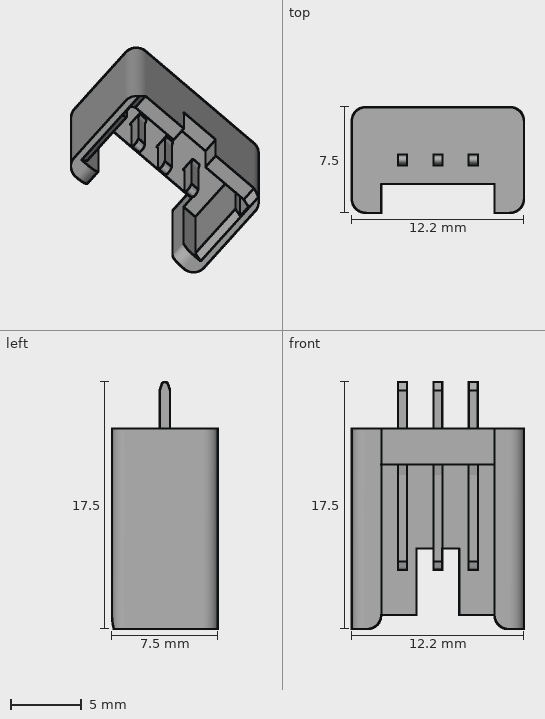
import cadquery as cq

body_width = 12.2
body_depth = 7.5
body_height = 14.2
corner_radius = 1.0

roof_thickness = 2.55
side_wall = 1.0
back_wall = 1.1
front_leg_thickness = 1.2

front_opening_width = 8.0
front_opening_depth = 2.05
leg_round_radius = 1.0

groove_width = 0.9
groove_depth = 0.45

mouth_height = 1.0
mouth_flare = 0.5

notch_width = 3.0
notch_top_z = 5.7

pin_count = 3
pin_pitch = 2.5
pin_width = 0.65
pin_thickness = 0.75
pin_length_above = 3.3
pin_length_below_top = 10.0
tip_length = 0.6
tip_round_height = 0.14
tip_round_half = 0.22
root_height = 0.75
root_flare = 0.14

front_y = -body_depth / 2
back_y = body_depth / 2
ceiling_z = body_height - roof_thickness
cavity_half_width = body_width / 2 - side_wall
cavity_front_y = front_y + front_leg_thickness
cavity_back_y = back_y - back_wall


def box_between(x_range, y_range, z_range):
    """Axis-aligned box spanning the given (low, high) ranges."""
    size = [high - low for low, high in (x_range, y_range, z_range)]
    corner = (x_range[0], y_range[0], z_range[0])
    return cq.Workplane("XY").box(*size, centered=False).translate(corner)


def housing_block():
    block = cq.Workplane("XY").rect(body_width, body_depth).extrude(body_height)
    return block.edges("|Z").fillet(corner_radius)


def cavity():
    """Main cavity plus the groove at the rear of each side wall."""
    main = box_between(
        (-cavity_half_width, cavity_half_width),
        (cavity_front_y, cavity_back_y),
        (0, ceiling_z),
    )
    groove_half_span = cavity_half_width + groove_depth
    grooves = box_between(
        (-groove_half_span, groove_half_span),
        (cavity_back_y - groove_width, cavity_back_y),
        (0, ceiling_z),
    )
    return main.union(grooves)


def front_opening():
    """Full-height slot whose lower edges round outward under the legs."""
    half = front_opening_width / 2
    slot = box_between((-half, half), (front_y, front_y + front_opening_depth), (0, body_height))
    for side in (-1, 1):
        center_x = side * (half + leg_round_radius)
        corner = box_between(
            (min(side * half, center_x), max(side * half, center_x)),
            (front_y, cavity_front_y),
            (0, leg_round_radius),
        )
        leg_end = (
            cq.Workplane("XZ", origin=(center_x, front_y, leg_round_radius))
            .circle(leg_round_radius)
            .extrude(-front_leg_thickness)
        )
        slot = slot.union(corner.cut(leg_end))
    return slot


def flared_mouth():
    """Trapezoidal cut, wider at the bottom, from behind the legs out through the back."""
    bottom_half = cavity_half_width + mouth_flare
    return (
        cq.Workplane("XZ", origin=(0, cavity_front_y, 0))
        .moveTo(-bottom_half, 0)
        .lineTo(bottom_half, 0)
        .lineTo(cavity_half_width, mouth_height)
        .lineTo(-cavity_half_width, mouth_height)
        .close()
        .extrude(cavity_front_y - back_y)
    )


def back_notch():
    half = notch_width / 2
    return box_between((-half, half), (cavity_back_y, back_y), (0, notch_top_z))


def pin(x):
    """Flat pin with rounded, tapered ends and a flared root under the ceiling."""
    half = pin_thickness / 2
    top_z = body_height + pin_length_above
    bottom_z = body_height - pin_length_below_top
    shank = (
        cq.Workplane("YZ", origin=(x - pin_width / 2, 0, 0))
        .moveTo(half, bottom_z + tip_length)
        .lineTo(half, top_z - tip_length)
        .lineTo(tip_round_half, top_z - tip_round_height)
        .threePointArc((0, top_z), (-tip_round_half, top_z - tip_round_height))
        .lineTo(-half, top_z - tip_length)
        .lineTo(-half, bottom_z + tip_length)
        .lineTo(-tip_round_half, bottom_z + tip_round_height)
        .threePointArc((0, bottom_z), (tip_round_half, bottom_z + tip_round_height))
        .close()
        .extrude(pin_width)
    )
    root = (
        cq.Workplane("YZ", origin=(x - pin_width / 2, 0, 0))
        .moveTo(-half, ceiling_z - root_height)
        .lineTo(half, ceiling_z - root_height)
        .lineTo(half + root_flare, ceiling_z)
        .lineTo(-half - root_flare, ceiling_z)
        .close()
        .extrude(pin_width)
    )
    return shank.union(root)


housing = housing_block()
for pocket in (cavity(), front_opening(), flared_mouth(), back_notch()):
    housing = housing.cut(pocket)

result = housing
for index in range(pin_count):
    pin_x = (index - (pin_count - 1) / 2) * pin_pitch
    result = result.union(pin(pin_x))